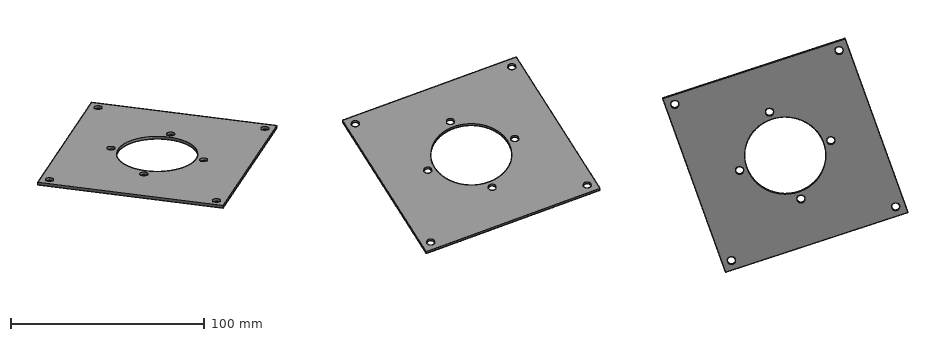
import cadquery as cq

plate_side = 100.0
plate_thickness = 1.6

opening_diameter = 42.0
screw_hole_diameter = 4.2
corner_hole_inset = 5.0
corner_hole_spacing = plate_side - 2 * corner_hole_inset
bolt_circle_radius = 25.0
bolt_circle_count = 4

plate = cq.Workplane("XY").box(plate_side, plate_side, plate_thickness)

plate = plate.faces(">Z").workplane().hole(opening_diameter)

plate = (
    plate.faces(">Z").workplane()
    .rect(corner_hole_spacing, corner_hole_spacing, forConstruction=True)
    .vertices()
    .hole(screw_hole_diameter)
)

result = (
    plate.faces(">Z").workplane()
    .polarArray(bolt_circle_radius, 0, 360, bolt_circle_count)
    .hole(screw_hole_diameter)
)